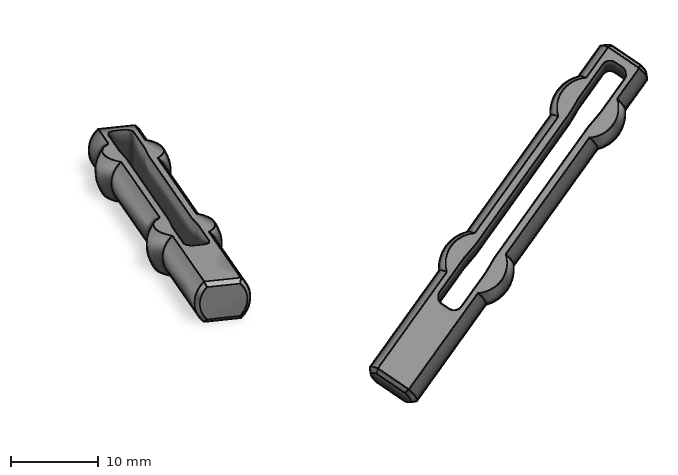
import cadquery as cq
import math

LENGTH = 46.88
THICKNESS = 5.0
BAR_RADIUS = 3.3
END_CHAMFER = 0.5

BEAD_RADIUS = 4.3
BEAD_SPACING = 22.2

SLOT_END_WALL = 1.5
SLOT_LENGTH = 34.5
SLOT_WIDTH = 3.0
SLOT_CORNER_RADIUS = 1.0
NECK_WIDTH = 2.65
NECK_LENGTH = 18.7
TAPER_LENGTH = 2.1

HALF_THICKNESS = THICKNESS / 2
FLAT_HALF_WIDTH = math.sqrt(BAR_RADIUS**2 - HALF_THICKNESS**2)
SLOT_MID_X = SLOT_END_WALL + SLOT_LENGTH / 2


def make_bar():
    """Round bar with flats on top and bottom and chamfered ends."""
    return (
        cq.Workplane("YZ")
        .moveTo(-FLAT_HALF_WIDTH, HALF_THICKNESS)
        .lineTo(FLAT_HALF_WIDTH, HALF_THICKNESS)
        .threePointArc((BAR_RADIUS, 0), (FLAT_HALF_WIDTH, -HALF_THICKNESS))
        .lineTo(-FLAT_HALF_WIDTH, -HALF_THICKNESS)
        .threePointArc((-BAR_RADIUS, 0), (-FLAT_HALF_WIDTH, HALF_THICKNESS))
        .close()
        .extrude(LENGTH)
        .faces("<X or >X")
        .chamfer(END_CHAMFER)
    )


def make_bead(center_x):
    """Sphere on the bar axis, cut off level with the flats."""
    diameter = 2 * BEAD_RADIUS
    slab = cq.Workplane("XY").box(diameter, diameter, THICKNESS)
    ball = cq.Workplane("XY").sphere(BEAD_RADIUS, direct=(1, 0, 0))
    return ball.intersect(slab).translate((center_x, 0, 0))


def make_slot():
    """Round-cornered slot that tapers to a narrower neck between its ends."""
    end_x = SLOT_LENGTH / 2
    neck_x = NECK_LENGTH / 2
    taper_x = neck_x + TAPER_LENGTH
    wide_y = SLOT_WIDTH / 2
    neck_y = NECK_WIDTH / 2
    back_edge = [
        (-end_x, wide_y),
        (-taper_x, wide_y),
        (-neck_x, neck_y),
        (neck_x, neck_y),
        (taper_x, wide_y),
        (end_x, wide_y),
    ]
    front_edge = [(x, -y) for x, y in reversed(back_edge)]
    return (
        cq.Workplane("XY")
        .polyline(back_edge + front_edge)
        .close()
        .extrude(HALF_THICKNESS, both=True)
        .edges("(|Z and <X) or (|Z and >X)")
        .fillet(SLOT_CORNER_RADIUS)
        .translate((SLOT_MID_X, 0, 0))
    )


result = make_bar()
for side in (-1, 1):
    result = result.union(make_bead(SLOT_MID_X + side * BEAD_SPACING / 2))
result = result.cut(make_slot())